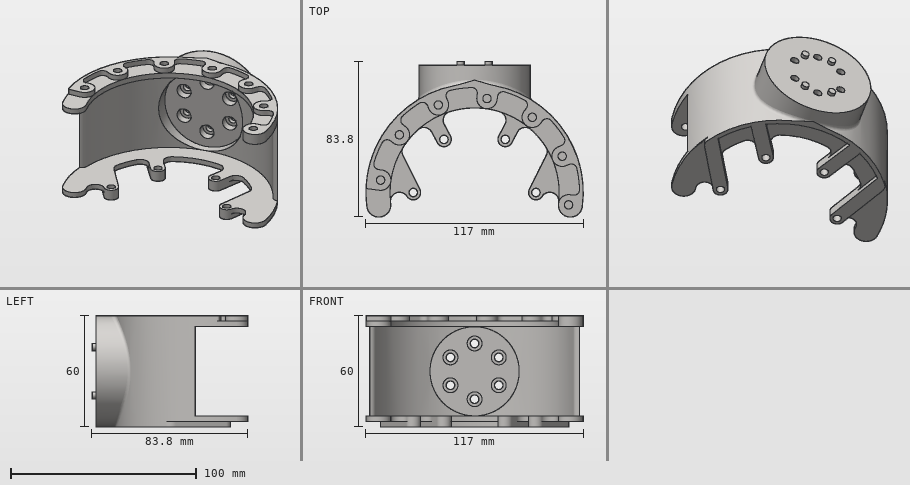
import cadquery as cq
import math

outer_radius = 58.5
inner_radius = 45.5
mid_radius = (outer_radius + inner_radius) / 2
cap_radius = (outer_radius - inner_radius) / 2
start_angle = -7.5
end_angle = 180 - start_angle

half_height = 30.0
wall_half_height = 24.0
layer_thickness = 3.0
top_floor_z = half_height - layer_thickness
bottom_floor_z = -half_height + layer_thickness

wall_inner_radius = 56.0
wall_front_y = 15.0

boss_count = 7
boss_spacing = 30.0
boss_radius = 5.5
boss_circle_radius = inner_radius + boss_radius
boss_hole_radius = 2.25
top_rim_radius = 56.5
pocket_corner_radius = 3.0
step_corner_radius = 1.0
step_zone_low_y = 1.0
step_zone_high_y = 3.0

tab_circle_radius = 33.0
tabs = ((180.0, 116.5), (120.0, 118.0))
tab_radius = 4.0
tab_length = 26.0
tab_hole_radius = 2.2
tab_fillet = 4.8
bottom_rim_inner_radius = 56.0
rim_corner_radius = 5.0

disc_radius = half_height
disc_back_y = outer_radius + 10.0
disc_fillet = 2.0
bore_radius = wall_half_height
bore_floor_y = disc_back_y - 8.0
bolt_circle_radius = 15.0
bolt_count = 6
bolt_hole_radius = 2.25
counterbore_radius = 4.0
counterbore_depth = 5.0
pin_radius = 2.0
pin_length = 2.0
pin_root_y = bore_floor_y + 1.0
pin_angles = (60.0, 120.0, 240.0, 300.0)

reach = 2 * outer_radius
tolerance = 0.01


class EdgesAtRadius(cq.Selector):
    """Edges whose middle lies at a given distance from the Z axis."""

    def __init__(self, radius):
        self.radius = radius

    def filter(self, edges):
        centers = [(edge, edge.Center()) for edge in edges]
        return [e for e, c in centers if abs(math.hypot(c.x, c.y) - self.radius) < tolerance]


def polar(radius, angle):
    """Point at a radius and an angle in degrees."""
    return radius * math.cos(math.radians(angle)), radius * math.sin(math.radians(angle))


def cylinder(radius, z_low, z_high, center=(0, 0)):
    return cq.Workplane("XY", origin=(*center, z_low)).circle(radius).extrude(z_high - z_low)


def cylinder_along_y(radius, y_low, y_high, center=(0, 0)):
    """Cylinder parallel to Y, centred at the given X and Z."""
    x, z = center
    return cq.Workplane("XZ", origin=(x, y_low, z)).circle(radius).extrude(y_low - y_high)


def box(x_low, x_high, y_low, y_high, z_low, z_high):
    size = (x_high - x_low, y_high - y_low, z_high - z_low)
    return cq.Workplane("XY").box(*size, centered=False).translate((x_low, y_low, z_low))


def sector(r_in, r_out, start, end, z_low, z_high):
    """Piece of a flat ring between two angles."""
    middle = (start + end) / 2
    return (
        cq.Workplane("XY", origin=(0, 0, z_low))
        .moveTo(*polar(r_in, start))
        .lineTo(*polar(r_out, start))
        .threePointArc(polar(r_out, middle), polar(r_out, end))
        .lineTo(*polar(r_in, end))
        .threePointArc(polar(r_in, middle), polar(r_in, start))
        .close()
        .extrude(z_high - z_low)
    )


def placed(solid, origin, direction):
    """Solid turned about Z to a direction, then moved to an origin in plan."""
    return solid.rotate((0, 0, 0), (0, 0, 1), direction).translate((*origin, 0))


def strip(center, radius, direction, length, z_low, z_high):
    """Bar with a round end at its centre, running in a direction."""
    bar = placed(box(0, length, -radius, radius, z_low, z_high), center, direction)
    return bar.union(cylinder(radius, z_low, z_high, center))


def with_mirror(solid):
    """Solid joined with its mirror image across the YZ plane."""
    return solid.union(solid.mirror("YZ"))


def make_ring(z_low, z_high):
    """Horseshoe plate with round ends."""
    ring = sector(inner_radius, outer_radius, start_angle, end_angle, z_low, z_high)
    for angle in (start_angle, end_angle):
        ring = ring.union(cylinder(cap_radius, z_low, z_high, polar(mid_radius, angle)))
    return ring


def boss_stalk(angle):
    """Round boss joined to the outer rim by a straight stalk."""
    center = polar(boss_circle_radius, angle)
    return strip(center, boss_radius, angle, reach, top_floor_z, half_height)


def make_top_plate():
    plate = make_ring(wall_half_height, half_height)
    angles = [start_angle + i * boss_spacing for i in range(boss_count)]
    clear_radius = inner_radius - boss_radius

    for start, end in zip(angles, angles[1:]):
        pocket = sector(clear_radius, top_rim_radius, start, end, top_floor_z, half_height)
        pocket = pocket.cut(boss_stalk(start)).cut(boss_stalk(end))
        pocket = pocket.edges("|Z").edges(EdgesAtRadius(top_rim_radius)).fillet(pocket_corner_radius)
        plate = plate.cut(pocket)

    last = angles[-1]
    low_end = sector(clear_radius, reach, last, last + boss_spacing, top_floor_z, half_height)
    plate = plate.cut(low_end.cut(boss_stalk(last)))
    step_zone = cq.selectors.BoxSelector(
        (-outer_radius - 1, step_zone_low_y, top_floor_z),
        (-outer_radius + 1, step_zone_high_y, half_height),
    )
    plate = plate.edges("|Z").edges(step_zone).fillet(step_corner_radius)

    for angle in angles:
        center = polar(boss_circle_radius, angle)
        plate = plate.cut(cylinder(boss_hole_radius, wall_half_height, half_height, center))
    return plate


def make_tabbed_ring():
    """Upper layer of the bottom plate, with the tabs blended into the ring."""
    levels = (bottom_floor_z, -wall_half_height)
    plate = make_ring(*levels)
    for hole_angle, direction in tabs:
        center = polar(tab_circle_radius, hole_angle)
        tab = strip(center, tab_radius, direction, tab_length, *levels)
        tab = tab.intersect(cylinder(mid_radius, *levels))
        plate = plate.union(with_mirror(tab))

    tab_side = cq.selectors.BoxSelector((-reach, 0, -reach), (reach, reach, reach))
    corners = plate.edges("|Z").edges(EdgesAtRadius(inner_radius)).edges(tab_side)
    return corners.fillet(tab_fillet)


def make_bottom_rim():
    """Lower layer of the bottom plate: outer rim and the pads under the tabs."""
    levels = (-half_height, bottom_floor_z)
    rim = cylinder(outer_radius, *levels).cut(cylinder(bottom_rim_inner_radius, *levels))

    hole_angle, direction = tabs[0]
    beyond = box(-reach, reach, tab_radius, 2 * reach, *levels)
    beyond = placed(beyond, polar(tab_circle_radius, hole_angle), direction)
    rim = rim.cut(with_mirror(beyond)).cut(box(-reach, reach, -reach, 0, *levels))

    for hole_angle, direction in tabs:
        center = polar(tab_circle_radius, hole_angle)
        pad = strip(center, tab_radius, direction, reach, *levels)
        pad = pad.intersect(cylinder(outer_radius, *levels))
        rim = rim.union(with_mirror(pad))
    rim = rim.clean()
    return rim.edges("|Z").edges(EdgesAtRadius(outer_radius)).fillet(rim_corner_radius)


def make_bottom_plate():
    plate = make_tabbed_ring().union(make_bottom_rim())
    for hole_angle, _ in tabs:
        center = polar(tab_circle_radius, hole_angle)
        hole = cylinder(tab_hole_radius, -half_height, -wall_half_height, center)
        plate = plate.cut(with_mirror(hole))
    return plate


def make_wall():
    """Curved wall whose ends are rounded from the inner face to the outer edge."""
    levels = (-wall_half_height, wall_half_height)
    wall = cylinder(outer_radius, *levels).cut(cylinder(wall_inner_radius, *levels))

    end_radius = (outer_radius**2 - wall_inner_radius**2) / (2 * (wall_inner_radius - wall_front_y))
    end_x = math.sqrt(outer_radius**2 - wall_front_y**2)
    end_y = wall_front_y + end_radius
    tangent_y = end_y * wall_inner_radius / (wall_inner_radius + end_radius)

    kept = box(-reach, reach, tangent_y, reach, *levels)
    kept = kept.union(with_mirror(cylinder(end_radius, *levels, (end_x, end_y))))
    return wall.intersect(kept)


def make_disc():
    """Disc behind the ring, blended into its outer face."""
    core = cylinder(outer_radius, -2 * disc_radius, 2 * disc_radius)
    disc = core.union(cylinder_along_y(disc_radius, 0, disc_back_y))
    side = disc_radius + 1
    joint = cq.selectors.BoxSelector((-side, 0, -side), (side, outer_radius + 1, side))
    disc = disc.edges(joint).fillet(disc_fillet)
    disc = disc.intersect(box(-reach, reach, wall_front_y, reach, -half_height, half_height))
    return disc.cut(cylinder(outer_radius, -half_height, half_height))


def add_bolt_pattern(body):
    """Cut the counterbored bolt holes and add the locating pins."""
    counterbore_end = bore_floor_y + counterbore_depth
    for i in range(bolt_count):
        center = polar(bolt_circle_radius, 90 + i * 360 / bolt_count)
        body = body.cut(cylinder_along_y(bolt_hole_radius, bore_floor_y, disc_back_y, center))
        body = body.cut(cylinder_along_y(counterbore_radius, bore_floor_y, counterbore_end, center))
    for angle in pin_angles:
        center = polar(bolt_circle_radius, angle)
        body = body.union(cylinder_along_y(pin_radius, pin_root_y, disc_back_y + pin_length, center))
    return body


body = make_top_plate().union(make_bottom_plate())
body = body.union(make_wall()).union(make_disc())
body = body.cut(cylinder_along_y(bore_radius, 0, bore_floor_y))
result = add_bolt_pattern(body)